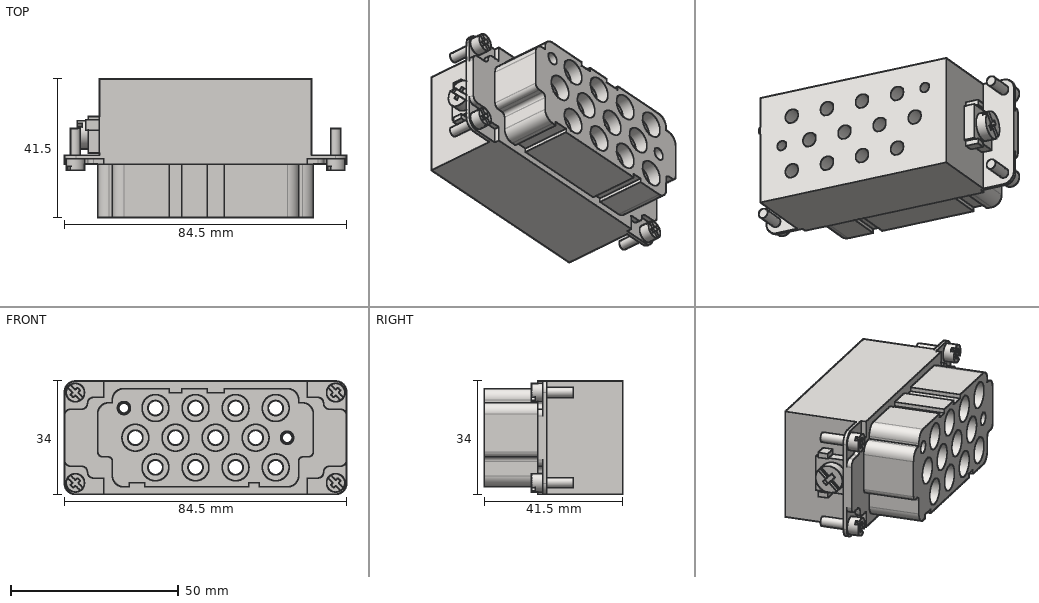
import cadquery as cq
import math

FLANGE_LENGTH = 84.5
HEIGHT = 34.0
FLANGE_THICKNESS = 2.7
FLANGE_CORNER_RADIUS = 3.4
HOUSING_LENGTH = 63.55
HOUSING_BACK = 25.5

POCKET_DEPTH = 1.6
POCKET_INNER_X = 30.5
POCKET_HIGH_Z = 12.1
POCKET_LOW_Z = 8.5
POCKET_STEP_X = 35.3
POCKET_STEP_RADIUS = (POCKET_HIGH_Z - POCKET_LOW_Z) / 2
POCKET_END_RADIUS = 1.95

PLUG_LENGTH = 16.0
PLUG_HALF_WIDTH = 32.3
PLUG_HALF_HEIGHT = 14.7
PLUG_WAIST_X = 27.9
PLUG_ROUND = 3.4
UPPER_SHOULDER_Z = 10.5
LOWER_SHOULDER_Z = -5.75
LOWER_SHOULDER_ROUND = 1.6
LOWER_INNER_ROUND = 1.3

GROOVE_DEPTH = 1.3
TOP_GROOVES = [(-10.9, -7.2), (0.5, 5.7)]
BOTTOM_GROOVES = [(-22.9, -18.25), (12.9, 16.05)]

CAVITY_PITCH = 12.0
CAVITIES_PER_ROW = 4
ROW_SPACING = 8.9
ROW_SHIFT = CAVITY_PITCH / 4
CAVITY_DIAMETER = 8.0
CAVITY_HOLE_DIAMETER = 4.4
CAVITY_DEPTH = 4.2
PILOT_X = 24.4
PILOT_POSITIONS = [(-PILOT_X, ROW_SPACING), (PILOT_X, 0)]
PILOT_DIAMETER = 3.9
PILOT_HOLE_DIAMETER = 3.0
PILOT_DEPTH = CAVITY_DEPTH

SCREW_X = 38.95
SCREW_Z = 13.5
SCREW_HEAD_DIAMETER = 5.5
SCREW_HEAD_FRONT = -1.9
SCREW_SHANK_DIAMETER = 3.0
SCREW_SHANK_END = 10.7
SCREW_SLOT_WIDTH = 1.2
SCREW_CROSS_LENGTH = 2.95
SCREW_SLOT_DEPTH = 1.2

TERMINAL_Y = 8.8
TERMINAL_SIZE = 11
TERMINAL_FACE_X = -35.15
TERMINAL_SCREW_DIAMETER = 8.5
TERMINAL_SCREW_FACE_X = -38.45
TERMINAL_SLOT_WIDTH = 1.4
TERMINAL_CROSS_LENGTH = 4.05
TERMINAL_SLOT_DEPTH = 1.5
LUG_FACE_X = -35.9
LUG_WIDTH = 3.1
LUG_Y = 11.75
LUG_TOP_Z = 7.1

DRIVE_ANGLE = 45

DIAGONAL = math.sqrt(0.5)


def front_plane(y):
    """Sketch plane at the given Y with local axes X and Z; its normal points to -Y."""
    return cq.Workplane("XZ", origin=(0, y, 0))


def box_between(x0, x1, y0, y1, z0, z1):
    return cq.Workplane("XY").box(x1 - x0, y1 - y0, z1 - z0, centered=False).translate((x0, y0, z0))


def arc_middle(center, radius, toward_x, toward_z):
    """Middle point of a quarter arc whose bulge faces the given quadrant."""
    reach = radius * DIAGONAL
    return (center[0] + toward_x * reach, center[1] + toward_z * reach)


def make_housing():
    half_length = HOUSING_LENGTH / 2
    half_height = HEIGHT / 2
    return box_between(-half_length, half_length, 0, HOUSING_BACK, -half_height, half_height)


def corner_pocket():
    """Pocket for the corner at +X, +Z: a stepped edge made of an S curve and a rounded end."""
    r = POCKET_STEP_RADIUS
    end_r = POCKET_END_RADIUS
    edge_x = FLANGE_LENGTH / 2
    top_z = HEIGHT / 2
    step_z = POCKET_HIGH_Z - r
    first_center = (POCKET_STEP_X - r, step_z)
    second_center = (POCKET_STEP_X + r, step_z)
    end_center = (edge_x - end_r, POCKET_LOW_Z - end_r)
    return (
        front_plane(POCKET_DEPTH)
        .moveTo(POCKET_INNER_X, top_z)
        .lineTo(POCKET_INNER_X, POCKET_HIGH_Z)
        .lineTo(first_center[0], POCKET_HIGH_Z)
        .threePointArc(arc_middle(first_center, r, 1, 1), (POCKET_STEP_X, step_z))
        .threePointArc(arc_middle(second_center, r, -1, -1), (second_center[0], POCKET_LOW_Z))
        .lineTo(end_center[0], POCKET_LOW_Z)
        .threePointArc(arc_middle(end_center, end_r, 1, 1), (edge_x, end_center[1]))
        .lineTo(edge_x, top_z)
        .close()
        .extrude(POCKET_DEPTH)
    )


def in_four_corners(shape):
    upper = shape.union(shape.mirror("YZ"))
    return upper.union(upper.mirror("XY"))


def make_flange():
    return (
        front_plane(FLANGE_THICKNESS)
        .rect(FLANGE_LENGTH, HEIGHT)
        .extrude(FLANGE_THICKNESS)
        .edges("|Y")
        .fillet(FLANGE_CORNER_RADIUS)
    )


def plug_half():
    """The +X half of the plug, outlined from top centre to bottom centre."""
    top_center = (PLUG_WAIST_X - PLUG_ROUND, PLUG_HALF_HEIGHT - PLUG_ROUND)
    bottom_center = (top_center[0], -top_center[1])
    upper_center = (PLUG_HALF_WIDTH - PLUG_ROUND, UPPER_SHOULDER_Z - PLUG_ROUND)
    lower_center = (PLUG_HALF_WIDTH - LOWER_SHOULDER_ROUND, LOWER_SHOULDER_Z + LOWER_SHOULDER_ROUND)
    inner_center = (PLUG_WAIST_X + LOWER_INNER_ROUND, LOWER_SHOULDER_Z - LOWER_INNER_ROUND)
    return (
        front_plane(0)
        .moveTo(0, PLUG_HALF_HEIGHT)
        .lineTo(top_center[0], PLUG_HALF_HEIGHT)
        .threePointArc(arc_middle(top_center, PLUG_ROUND, 1, 1), (PLUG_WAIST_X, top_center[1]))
        .lineTo(PLUG_WAIST_X, UPPER_SHOULDER_Z)
        .lineTo(upper_center[0], UPPER_SHOULDER_Z)
        .threePointArc(arc_middle(upper_center, PLUG_ROUND, 1, 1), (PLUG_HALF_WIDTH, upper_center[1]))
        .lineTo(PLUG_HALF_WIDTH, lower_center[1])
        .threePointArc(
            arc_middle(lower_center, LOWER_SHOULDER_ROUND, 1, -1), (lower_center[0], LOWER_SHOULDER_Z)
        )
        .lineTo(inner_center[0], LOWER_SHOULDER_Z)
        .threePointArc(arc_middle(inner_center, LOWER_INNER_ROUND, -1, 1), (PLUG_WAIST_X, inner_center[1]))
        .lineTo(PLUG_WAIST_X, bottom_center[1])
        .threePointArc(
            arc_middle(bottom_center, PLUG_ROUND, 1, -1), (bottom_center[0], -PLUG_HALF_HEIGHT)
        )
        .lineTo(0, -PLUG_HALF_HEIGHT)
        .close()
        .extrude(PLUG_LENGTH)
    )


def make_plug():
    half = plug_half()
    plug = half.union(half.mirror("YZ"))
    floor_z = PLUG_HALF_HEIGHT - GROOVE_DEPTH
    for start_x, end_x in TOP_GROOVES:
        plug = plug.cut(box_between(start_x, end_x, -PLUG_LENGTH, 0, floor_z, PLUG_HALF_HEIGHT))
    for start_x, end_x in BOTTOM_GROOVES:
        plug = plug.cut(box_between(start_x, end_x, -PLUG_LENGTH, 0, -PLUG_HALF_HEIGHT, -floor_z))
    return plug


def row_positions(shift, z):
    """Evenly pitched row whose middle lies at X = shift."""
    start_x = shift - CAVITY_PITCH * (CAVITIES_PER_ROW - 1) / 2
    return [(start_x + i * CAVITY_PITCH, z) for i in range(CAVITIES_PER_ROW)]


def stepped_holes(positions, bore_diameter, bore_depth, hole_diameter):
    """Bores from the plug face, each continued by a narrower hole through the housing."""
    face = front_plane(-PLUG_LENGTH).pushPoints(positions)
    bores = face.circle(bore_diameter / 2).extrude(-bore_depth)
    holes = face.circle(hole_diameter / 2).extrude(-(PLUG_LENGTH + HOUSING_BACK))
    return bores.union(holes)


def drive_cutter(slot_length, slot_width, cross_length, depth):
    """Combined slot and short cross, centred on Z and reaching down from Z = 0."""
    slot = cq.Workplane("XY").rect(slot_length, slot_width).extrude(-depth)
    cross = cq.Workplane("XY").rect(slot_width, cross_length).extrude(-depth)
    return slot.union(cross)


def flange_screw():
    """Screw on the Y axis with its head against the pocket floor."""
    head = front_plane(POCKET_DEPTH).circle(SCREW_HEAD_DIAMETER / 2).extrude(POCKET_DEPTH - SCREW_HEAD_FRONT)
    shank = (
        front_plane(SCREW_SHANK_END).circle(SCREW_SHANK_DIAMETER / 2).extrude(SCREW_SHANK_END - POCKET_DEPTH)
    )
    drive = (
        drive_cutter(SCREW_HEAD_DIAMETER, SCREW_SLOT_WIDTH, SCREW_CROSS_LENGTH, SCREW_SLOT_DEPTH)
        .rotate((0, 0, 0), (0, 0, 1), -DRIVE_ANGLE)
        .rotate((0, 0, 0), (1, 0, 0), 90)
        .translate((0, SCREW_HEAD_FRONT, 0))
    )
    return head.cut(drive).union(shank)


def earth_terminal():
    end_x = -HOUSING_LENGTH / 2
    half = TERMINAL_SIZE / 2
    terminal = box_between(TERMINAL_FACE_X, end_x, TERMINAL_Y - half, TERMINAL_Y + half, -half, half)
    lug_start = LUG_Y - LUG_WIDTH / 2
    lug = box_between(LUG_FACE_X, end_x, lug_start, lug_start + LUG_WIDTH, half, LUG_TOP_Z)
    head = (
        cq.Workplane("YZ", origin=(TERMINAL_SCREW_FACE_X, TERMINAL_Y, 0))
        .circle(TERMINAL_SCREW_DIAMETER / 2)
        .extrude(TERMINAL_FACE_X - TERMINAL_SCREW_FACE_X)
    )
    drive = (
        drive_cutter(
            TERMINAL_SCREW_DIAMETER, TERMINAL_SLOT_WIDTH, TERMINAL_CROSS_LENGTH, TERMINAL_SLOT_DEPTH
        )
        .rotate((0, 0, 0), (0, 0, 1), DRIVE_ANGLE)
        .rotate((0, 0, 0), (0, 1, 0), -90)
        .translate((TERMINAL_SCREW_FACE_X, TERMINAL_Y, 0))
    )
    return terminal.union(head.cut(drive)).union(lug).union(lug.mirror("XY"))


cavity_positions = (
    row_positions(ROW_SHIFT, ROW_SPACING)
    + row_positions(-ROW_SHIFT, 0)
    + row_positions(ROW_SHIFT, -ROW_SPACING)
)

body = make_housing().union(make_flange()).cut(in_four_corners(corner_pocket())).union(make_plug())
body = body.cut(stepped_holes(cavity_positions, CAVITY_DIAMETER, CAVITY_DEPTH, CAVITY_HOLE_DIAMETER))
body = body.cut(stepped_holes(PILOT_POSITIONS, PILOT_DIAMETER, PILOT_DEPTH, PILOT_HOLE_DIAMETER))
body = body.union(earth_terminal())

screw = flange_screw()
for screw_x in (-SCREW_X, SCREW_X):
    for screw_z in (-SCREW_Z, SCREW_Z):
        body = body.union(screw.translate((screw_x, 0, screw_z)))

result = body